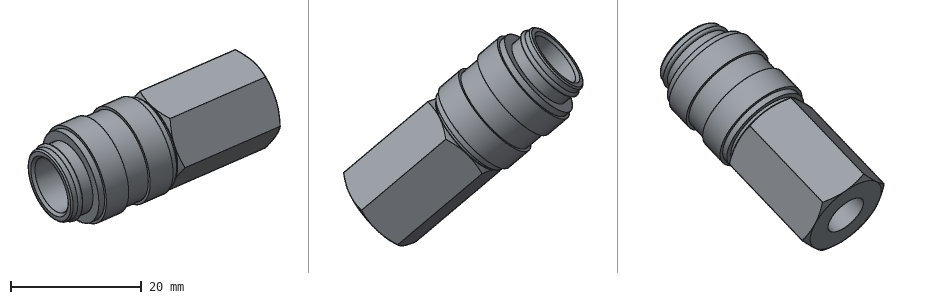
import cadquery as cq
import math

LENGTH = 38.0
FRONT_Y = -LENGTH / 2

BEAD_START = 1.15
BEAD_END = 1.98
SLEEVE_START = 3.95
FRONT_BAND_START = 5.0
FRONT_BAND_END = 9.15
REAR_BAND_START = 13.15
REAR_BAND_END = 17.4
SLEEVE_END = 18.43
HEX_START = 19.05

TUBE_RADIUS = 6.0
BEAD_RADIUS = 6.4
SLEEVE_RADIUS = 7.6
BAND_RADIUS = 8.1
NECK_RADIUS = 6.85
TUBE_CHAMFER = 0.25

HEX_CORNER_RADIUS = BAND_RADIUS
HEX_END_RADIUS = HEX_CORNER_RADIUS * math.cos(math.radians(30))
HEX_CHAMFER_LENGTH = (HEX_CORNER_RADIUS - HEX_END_RADIUS) * math.tan(math.radians(30))

THROUGH_RADIUS = 3.5
SOCKET_RADIUS = 4.55
SOCKET_DEPTH = HEX_START
MOUTH_RADIUS = 5.0
MOUTH_CHAMFER_LENGTH = 0.45


def revolve_about_axis(profile):
    """Turn a closed (radius, station) profile around Y and place it from the mouth."""
    solid = profile.close().revolve(360, (0, 0, 0), (0, 1, 0))
    return solid.translate((0, FRONT_Y, 0))


def make_turned_body():
    profile = (
        cq.Workplane("XY")
        .moveTo(0, 0)
        .lineTo(TUBE_RADIUS - TUBE_CHAMFER, 0)
        .lineTo(TUBE_RADIUS, TUBE_CHAMFER)
        .lineTo(TUBE_RADIUS, BEAD_START)
        .threePointArc((BEAD_RADIUS, (BEAD_START + BEAD_END) / 2), (TUBE_RADIUS, BEAD_END))
        .lineTo(TUBE_RADIUS, SLEEVE_START)
        .lineTo(SLEEVE_RADIUS, SLEEVE_START)
        .lineTo(SLEEVE_RADIUS, FRONT_BAND_START)
        .lineTo(BAND_RADIUS, FRONT_BAND_START)
        .lineTo(BAND_RADIUS, FRONT_BAND_END)
        .lineTo(SLEEVE_RADIUS, FRONT_BAND_END)
        .lineTo(SLEEVE_RADIUS, REAR_BAND_START)
        .lineTo(BAND_RADIUS, REAR_BAND_START)
        .lineTo(BAND_RADIUS, REAR_BAND_END)
        .lineTo(SLEEVE_RADIUS, REAR_BAND_END)
        .lineTo(SLEEVE_RADIUS, SLEEVE_END)
        .lineTo(NECK_RADIUS, SLEEVE_END)
        .lineTo(NECK_RADIUS, HEX_START)
        .lineTo(0, HEX_START)
    )
    return revolve_about_axis(profile)


def make_hexagon():
    """Hexagonal prism with both ends turned to a 30 degree cone."""
    prism = (
        cq.Workplane("XZ", origin=(0, LENGTH / 2, 0))
        .polygon(6, 2 * HEX_CORNER_RADIUS)
        .extrude(LENGTH - HEX_START)
    )
    envelope = revolve_about_axis(
        cq.Workplane("XY")
        .moveTo(0, HEX_START)
        .lineTo(HEX_END_RADIUS, HEX_START)
        .lineTo(HEX_CORNER_RADIUS, HEX_START + HEX_CHAMFER_LENGTH)
        .lineTo(HEX_CORNER_RADIUS, LENGTH - HEX_CHAMFER_LENGTH)
        .lineTo(HEX_END_RADIUS, LENGTH)
        .lineTo(0, LENGTH)
    )
    return prism.intersect(envelope)


def make_bore():
    """Chamfered socket followed by a narrower hole through the hexagon."""
    profile = (
        cq.Workplane("XY")
        .moveTo(0, 0)
        .lineTo(MOUTH_RADIUS, 0)
        .lineTo(SOCKET_RADIUS, MOUTH_CHAMFER_LENGTH)
        .lineTo(SOCKET_RADIUS, SOCKET_DEPTH)
        .lineTo(THROUGH_RADIUS, SOCKET_DEPTH)
        .lineTo(THROUGH_RADIUS, LENGTH)
        .lineTo(0, LENGTH)
    )
    return revolve_about_axis(profile)


result = make_turned_body().union(make_hexagon()).cut(make_bore())